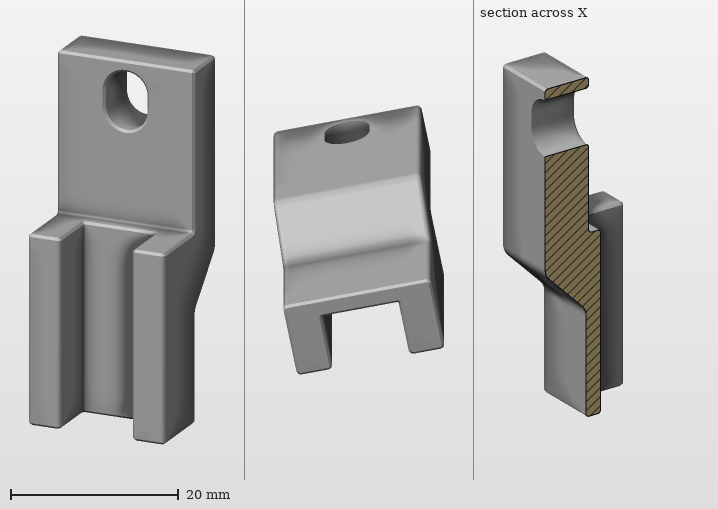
import cadquery as cq

width = 18.0
depth = 15.0
height = 44.6

plate_thickness = 6.43
step_height = 24.15
back_offset = 6.0
slope_top = 20.12
slope_bottom = slope_top - back_offset

leg_width = 4.35
channel_width = width - 2 * leg_width
channel_depth = 6.83

hole_width = 5.5
hole_height = 7.35
hole_center_height = 39.5

edge_chamfer = 0.3
edge_radius = 0.6
bend_radius = 1.95
step_radius = 0.4
channel_corner_radius = 0.2

back_y = depth / 2
front_y = -depth / 2
plate_front_y = back_y - plate_thickness
block_back_y = back_y - back_offset
channel_floor_y = front_y + channel_depth
pick_margin = 0.05


def edges_near(points):
    """Select the edge closest to each of the given points."""
    selector = cq.selectors.NearestToPointSelector(points[0])
    for point in points[1:]:
        selector = selector + cq.selectors.NearestToPointSelector(point)
    return selector


def both_sides(x, y, z):
    """Mirror a point across the middle plane of the width."""
    return [(-x, y, z), (x, y, z)]


def edges_in_box(body, corner_a, corner_b):
    """Select the edges whose centres lie in a box spanned by two corners."""
    return body.edges(cq.selectors.BoxSelector(corner_a, corner_b))


def make_body():
    profile = [
        (front_y, 0),
        (block_back_y, 0),
        (block_back_y, slope_bottom),
        (back_y, slope_top),
        (back_y, height),
        (plate_front_y, height),
        (plate_front_y, step_height),
        (front_y, step_height),
    ]
    return cq.Workplane("YZ").polyline(profile).close().extrude(width / 2, both=True)


def cut_channel(body):
    channel = cq.Workplane("XY").box(
        channel_width, channel_depth, step_height, centered=(True, False, False)
    )
    return body.cut(channel.translate((0, front_y, 0)))


def round_edges(body):
    bends = [(0, back_y, slope_top), (0, block_back_y, slope_bottom)]
    body = body.edges(edges_near(bends)).fillet(bend_radius)
    body = body.edges(edges_near([(0, plate_front_y, step_height)])).fillet(step_radius)

    floor_corners = both_sides(channel_width / 2, channel_floor_y, step_height / 2)
    body = body.edges(edges_near(floor_corners)).fillet(channel_corner_radius)

    leg_edges = both_sides(width / 2, front_y, step_height / 2)
    leg_edges += both_sides(channel_width / 2, front_y, step_height / 2)
    back_edges = both_sides(width / 2, back_y, (slope_top + height) / 2)
    return body.edges(edges_near(leg_edges + back_edges)).fillet(edge_radius)


def chamfer_rims(body):
    body = body.faces("<Z").edges().chamfer(edge_chamfer)
    step_rim = edges_in_box(
        body,
        (-width, front_y - pick_margin, step_height - pick_margin),
        (width, plate_front_y - step_radius - pick_margin, step_height + pick_margin),
    )
    plate_edges = both_sides(width / 2, plate_front_y, (step_height + height) / 2)
    rim = body.faces(">Z").edges().add(step_rim).add(body.edges(edges_near(plate_edges)))
    return body.newObject(rim.vals()).chamfer(edge_chamfer)


def cut_hole(body):
    hole = (
        cq.Workplane("XZ", origin=(0, back_y, hole_center_height))
        .slot2D(hole_height, hole_width, 90)
        .extrude(plate_thickness)
    )
    body = body.cut(hole)
    rim = edges_in_box(
        body,
        (-hole_width, plate_front_y - pick_margin, hole_center_height - hole_height / 2),
        (hole_width, plate_front_y + pick_margin, hole_center_height + hole_height / 2),
    )
    return rim.chamfer(edge_chamfer)


result = make_body()
result = cut_channel(result)
result = round_edges(result)
result = chamfer_rims(result)
result = cut_hole(result)